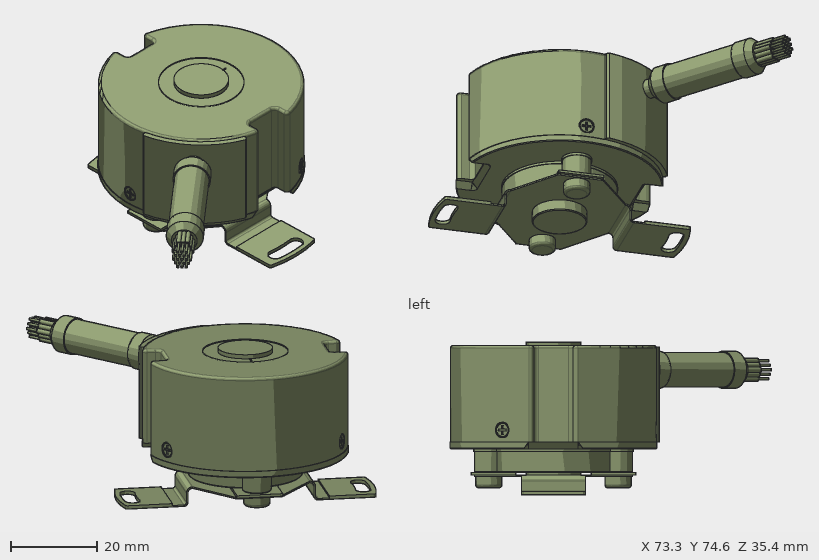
import cadquery as cq
import math


edge_chamfer = 0.2
cut_overrun = 0.75

housing_radius = 23.9
housing_top = 34.7
rim_fillet = 0.7
base_radius = 24.0
base_bottom = 10.7
base_top = 12.2

notch_half_width = 4.55
notch_floor = 19.25
notch_corner = 1.1
notch_lip = 0.9
base_notch_half_width = 5.75
base_notch_floor = 19.4
base_notch_flare = 1.2

shaft_radius = 6.35
shaft_bottom = 1.65
shaft_top = 35.4
hub_radius = 13.35
hub_bottom = 5.2
root_bottom = 10.1
root_step = 0.15
dial_radius = 9.9
dial_depth = 0.2
mark_length = 1.9
mark_width = 0.2

sheet = 0.4
plate_bottom = 4.25
plate_top = plate_bottom + sheet
plate_half_length = 18.35
ear_half_length = 19.1
ear_half_width = 5.4
ear_inner = 8.7
leg_outer = 15.2
wing_half_width = 7.45
wing_radius = 30.35
wing_corner = 0.6
shoulder_bend = 1.05
foot_bend = 0.6
pad_inner = 18.5
pad_top = 0.8
slot_radius = 27.4
slot_width = 3.5
slot_half_length = 5.15

pillar_offset = 15.0
pillar_radius = 3.35
head_radius = 3.05
head_bottom = 1.65
head_fillet = 0.7

side_screw_angles = (-90, 30, 150)
side_screw_height = 15.1
side_screw_bore = 1.8
side_screw_head = 1.6
side_screw_depth = 0.5
side_screw_recess = 0.15
cross_length = 2.1
cross_width = 0.45

cable_angle = -50.0
cable_height = 29.0
collar_radius = 25.15
collar_half_angle = 29.2
collar_top = 34.3
collar_chamfer = 0.5
neck_radius = 2.25
neck_start = 22.4
cone_start = 27.0
cone_radius = 2.8
ferrule_start = 28.65
ferrule_radius = 4.3
sleeve_start = 31.9
sleeve_radius = 4.0
end_ferrule_start = 51.25
end_cone_start = 54.8
cable_end = 56.4
end_cone_radius = 3.0

insulation_end = 60.9
wire_end = 64.15
insulation_radius = 0.6
wire_radius = 0.3
wire_pitch = 1.0
row_pitch = 1.05
middle_row_count = 5
outer_rows = 2


def cylinder(radius, bottom, top):
    return cq.Workplane("XY").workplane(offset=bottom).circle(radius).extrude(top - bottom)


def box_between(x0, x1, y0, y1, z0, z1):
    return cq.Workplane("XY").box(x1 - x0, y1 - y0, z1 - z0, centered=False).translate((x0, y0, z0))


def both_sides(solid):
    """Join a +X feature with its copy on the -X side."""
    return solid.union(solid.rotate((0, 0, 0), (0, 0, 1), 180))


def on_cable(solid):
    """Move a solid built along +X at Z = 0 onto the cable axis."""
    return solid.rotate((0, 0, 0), (0, 0, 1), cable_angle).translate((0, 0, cable_height))


def make_housing():
    shell = cylinder(housing_radius, base_top, housing_top)
    outer = housing_radius + cut_overrun
    notch = box_between(notch_floor, outer, -notch_half_width, notch_half_width, base_top, housing_top)
    notch = notch.edges("|Z and <X").fillet(notch_corner)
    shell = shell.cut(both_sides(notch))
    lip_x = math.sqrt(housing_radius**2 - notch_half_width**2)
    middle = (base_top + housing_top) / 2
    for x in (-lip_x, lip_x):
        for y in (-notch_half_width, notch_half_width):
            lip = cq.NearestToPointSelector((x, y, middle))
            shell = shell.edges("|Z").edges(lip).fillet(notch_lip)
    return shell.faces(">Z").edges().fillet(rim_fillet)


def make_base():
    """Base disc whose notches flare out toward the underside."""
    base = cylinder(base_radius, base_bottom, base_top).faces("<Z").edges().chamfer(edge_chamfer)
    height = base_top - base_bottom
    outer = base_radius + cut_overrun
    notch = (
        cq.Workplane("XY")
        .workplane(offset=base_top)
        .center((base_notch_floor + outer) / 2, 0)
        .rect(outer - base_notch_floor, 2 * base_notch_half_width)
        .extrude(-height, taper=-math.degrees(math.atan(base_notch_flare / height)))
    )
    return base.cut(both_sides(notch))


def make_dial_cut():
    recess = cylinder(dial_radius, housing_top - dial_depth, housing_top)
    mark = box_between(
        -mark_width / 2,
        mark_width / 2,
        0,
        shaft_radius + mark_length,
        housing_top - 2 * dial_depth,
        housing_top,
    )
    return recess.union(mark)


def make_shaft():
    shaft = cylinder(shaft_radius, shaft_bottom, shaft_top).faces("<Z").edges().chamfer(edge_chamfer)
    hub = cylinder(hub_radius, hub_bottom, base_bottom).faces("<Z").edges().chamfer(edge_chamfer)
    root = cylinder(hub_radius + root_step, root_bottom, base_bottom)
    return shaft.union(hub).union(root)


def make_foot():
    """One bent leg with its slotted wing, on the +X side."""
    leg_inner = leg_outer - sheet
    foot = (
        cq.Workplane("XZ")
        .polyline(
            [
                (shaft_radius, plate_bottom),
                (leg_inner, plate_bottom),
                (leg_inner, 0),
                (wing_radius, 0),
                (wing_radius, sheet),
                (leg_outer, sheet),
                (leg_outer, plate_top),
                (shaft_radius, plate_top),
            ]
        )
        .close()
        .extrude(wing_half_width, both=True)
    )
    for x, z, radius in (
        (leg_inner, plate_bottom, shoulder_bend),
        (leg_outer, plate_top, shoulder_bend + sheet),
        (leg_outer, sheet, foot_bend),
        (leg_inner, 0, foot_bend + sheet),
    ):
        foot = foot.edges(cq.NearestToPointSelector((x, 0, z))).fillet(radius)
    pad = box_between(pad_inner, wing_radius, -wing_half_width, wing_half_width, 0, pad_top)
    foot = foot.union(pad)
    foot = foot.intersect(cylinder(wing_radius, 0, plate_top))
    corner_x = math.sqrt(wing_radius**2 - wing_half_width**2)
    for side in (-1, 1):
        corner = cq.NearestToPointSelector((corner_x, side * wing_half_width, pad_top / 2))
        foot = foot.edges("|Z").edges(corner).fillet(wing_corner)
    return foot.cut(make_wing_slot())


def make_wing_slot():
    """Round-ended slot curved about the shaft axis."""
    end_radius = slot_width / 2
    half_angle = math.asin((slot_half_length - end_radius) / slot_radius)

    def point(radius, angle):
        return (radius * math.cos(angle), radius * math.sin(angle))

    inner = slot_radius - end_radius
    outer = slot_radius + end_radius
    slot = (
        cq.Workplane("XY")
        .moveTo(*point(inner, -half_angle))
        .threePointArc(point(inner, 0), point(inner, half_angle))
        .lineTo(*point(outer, half_angle))
        .threePointArc(point(outer, 0), point(outer, -half_angle))
        .close()
        .extrude(pad_top)
    )
    for angle in (-half_angle, half_angle):
        slot = slot.union(cylinder(end_radius, 0, pad_top).translate((*point(slot_radius, angle), 0)))
    return slot


def make_bracket():
    plate_half_width = leg_outer - sheet - shoulder_bend
    quarter = cq.Workplane("XY").workplane(offset=plate_bottom).polyline(
        [
            (0, 0),
            (plate_half_width, 0),
            (plate_half_width, wing_half_width),
            (ear_half_width, plate_half_length),
            (0, plate_half_length),
        ]
    )
    half = quarter.close().extrude(sheet)
    half = half.union(half.mirror("XZ"))
    plate = both_sides(half)
    bracket = plate.union(both_sides(make_foot()))
    for side in (-1, 1):
        ear = box_between(
            -ear_half_width, ear_half_width, ear_inner, ear_half_length, plate_top, hub_bottom
        )
        pillar = cylinder(pillar_radius, hub_bottom, base_bottom).faces("<Z").edges().chamfer(edge_chamfer)
        root = cylinder(pillar_radius + root_step, root_bottom, base_bottom)
        head = cylinder(head_radius, head_bottom, plate_top).faces("<Z").edges().fillet(head_fillet)
        fixing = ear.union(pillar.union(root).union(head).translate((0, pillar_offset, 0)))
        bracket = bracket.union(fixing.rotate((0, 0, 0), (0, 0, 1), 90 - 90 * side))
    return bracket


def add_side_screw(body, angle):
    """Sink a cross-head screw into the housing wall at the given angle."""
    floor = housing_radius - side_screw_depth
    head_face = housing_radius - side_screw_recess

    def place(solid):
        return solid.translate((0, 0, side_screw_height)).rotate((0, 0, 0), (0, 0, 1), angle)

    face = cq.Workplane("YZ").workplane(offset=floor)
    bore = face.circle(side_screw_bore).extrude(2 * side_screw_depth)
    head = face.circle(side_screw_head).extrude(head_face - floor)
    for width, height in ((cross_length, cross_width), (cross_width, cross_length)):
        head = head.cut(face.rect(width, height).extrude(side_screw_depth))
    return body.cut(place(bore)).union(place(head))


def make_collar():
    """Thickened wall sector around the cable exit."""
    half = math.radians(collar_half_angle)
    dx = collar_radius * math.cos(half)
    dy = collar_radius * math.sin(half)
    inner = notch_floor / collar_radius
    collar = (
        cq.Workplane("XY")
        .workplane(offset=base_top)
        .moveTo(inner * dx, -inner * dy)
        .lineTo(dx, -dy)
        .threePointArc((collar_radius, 0), (dx, dy))
        .lineTo(inner * dx, inner * dy)
        .close()
        .extrude(collar_top - base_top)
    )
    for side in (-1, 1):
        corner = cq.NearestToPointSelector((dx, side * dy, (base_top + collar_top) / 2))
        collar = collar.edges("|Z").edges(corner).chamfer(collar_chamfer)
    return collar.rotate((0, 0, 0), (0, 0, 1), cable_angle)


def make_cable():
    profile = [
        (neck_start, 0),
        (neck_start, neck_radius),
        (cone_start, neck_radius),
        (cone_start, cone_radius),
        (ferrule_start, ferrule_radius),
        (sleeve_start, ferrule_radius),
        (sleeve_start, sleeve_radius),
        (end_ferrule_start, sleeve_radius),
        (end_ferrule_start, ferrule_radius),
        (end_cone_start, ferrule_radius),
        (cable_end, end_cone_radius),
        (cable_end, 0),
    ]
    cable = cq.Workplane("XY").polyline(profile).close().revolve(360, (0, 0, 0), (1, 0, 0))
    return on_cable(cable.union(make_wires()))


def make_wires():
    """Insulated wires with bare tips, stacked in staggered rows."""
    centres = []
    for row in range(-outer_rows, outer_rows + 1):
        count = middle_row_count - abs(row)
        for i in range(count):
            across = (i - (count - 1) / 2) * wire_pitch
            centres.append((across, row * row_pitch))
    start = cq.Workplane("YZ").workplane(offset=end_cone_start).pushPoints(centres)
    bundle = start.circle(wire_radius).extrude(wire_end - end_cone_start)
    for centre in centres:
        sleeve = cq.Workplane("YZ").workplane(offset=end_cone_start).pushPoints([centre])
        bundle = bundle.union(sleeve.circle(insulation_radius).extrude(insulation_end - end_cone_start))
    return bundle


body = make_housing().union(make_base()).union(make_collar()).cut(make_dial_cut())
for screw_angle in side_screw_angles:
    body = add_side_screw(body, screw_angle)
result = body.union(make_shaft()).union(make_bracket()).union(make_cable())